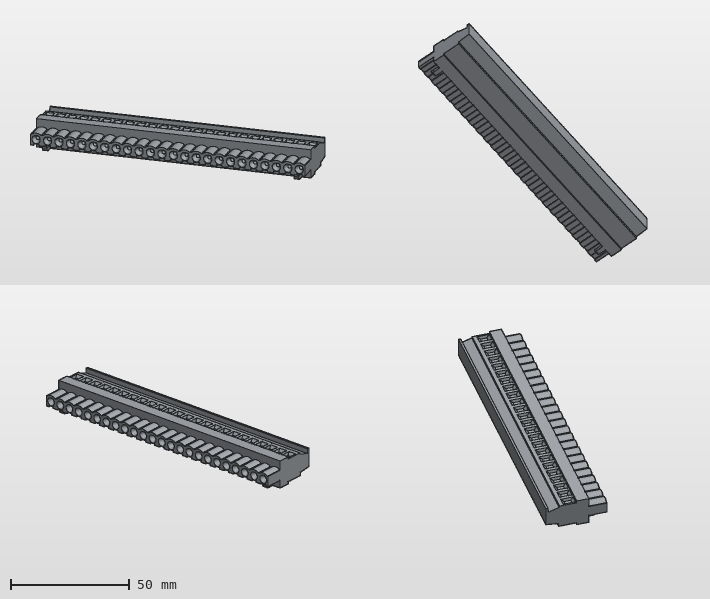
import cadquery as cq
import math

length = 121.9
depth = 27.1
height = 12.7
pole_count = 24
pitch = length / pole_count

front_y = 8.0
step_y = 13.4
step_height = 1.0
deck_z = height - step_height
belly_z = step_height
deck_rear_y = 21.0
deck_foot_y = 21.2
deck_rear_drop = 0.6
belly_rear_y = 21.5
belly_rear_z = 2.4
lip_thickness = 1.0
lip_root_thickness = 1.2
lip_root_z = 9.6
rear_bottom_z = 3.2

socket_bottom_z = 3.7
socket_side_z = 8.4
socket_top_z = 9.3
crown_radius = 3.3
crown_rise = socket_top_z - socket_side_z
crown_half_width = math.sqrt(2 * crown_radius * crown_rise - crown_rise**2)

entry_z = 6.3
entry_diameter = 3.7
bore_diameter = 1.6
entry_depth = 2.4
bore_depth = 7.3
relief_width = 2.4
relief_height = 0.6

window_width = 3.5
window_front_y = 13.7
window_rear_y = 19.1
window_depth = 1.2
floor_width = 2.7
floor_front_y = 14.9
floor_rear_y = 17.8

hook_width = 2.1
hook_tip_y = 3.7
hook_top_z = 1.7
hook_tip_z = 2.2
hook_tip_length = 1.0
hook_tip_lean = 0.2
hook_nose_radius = 1.6

pole_xs = [pitch * (i + 0.5) for i in range(pole_count)]


def along_x(points, x_start, x_length):
    """Extrude a closed (Y, Z) outline along X."""
    return cq.Workplane("YZ", origin=(x_start, 0, 0)).polyline(points).close().extrude(x_length)


def housing():
    """Stepped housing with a thin upright lip along its rear edge."""
    outline = [
        (front_y, 0),
        (front_y, height),
        (step_y, height),
        (step_y, deck_z),
        (deck_rear_y, deck_z),
        (deck_foot_y, deck_z - deck_rear_drop),
        (depth - lip_root_thickness, lip_root_z),
        (depth - lip_thickness, deck_z),
        (depth, deck_z),
        (depth, rear_bottom_z),
        (belly_rear_y, belly_rear_z),
        (belly_rear_y, belly_z),
        (step_y, belly_z),
        (step_y, 0),
    ]
    return along_x(outline, 0, length)


def socket_row():
    """Continuous block of sockets with one round crown per pole."""
    outline = cq.Workplane("XZ").moveTo(0, socket_bottom_z).lineTo(0, socket_side_z)
    for x in pole_xs:
        outline = outline.lineTo(x - crown_half_width, socket_side_z)
        outline = outline.threePointArc((x, socket_top_z), (x + crown_half_width, socket_side_z))
    outline = outline.lineTo(length, socket_side_z).lineTo(length, socket_bottom_z).close()
    return outline.extrude(-front_y)


def wire_entry(x):
    """Cutter for one pole: funnel and bore, plus the relief groove underneath."""
    profile = [
        (0, 0),
        (entry_diameter / 2, 0),
        (bore_diameter / 2, entry_depth),
        (bore_diameter / 2, bore_depth),
        (0, bore_depth),
    ]
    bore = cq.Workplane("XY").polyline(profile).close().revolve(360, (0, 0, 0), (0, 1, 0))
    relief = cq.Workplane("XY").box(relief_width, front_y, relief_height, centered=(True, False, False))
    return bore.translate((x, 0, entry_z)).add(relief.translate((x, 0, socket_bottom_z)))


def window(x):
    """Cutter narrowing from the deck down to a smaller floor."""
    mouth_y = (window_front_y + window_rear_y) / 2
    floor_y = (floor_front_y + floor_rear_y) / 2
    return (
        cq.Workplane("XY", origin=(x, mouth_y, deck_z))
        .rect(window_width, window_rear_y - window_front_y)
        .workplane(offset=-window_depth)
        .center(0, floor_y - mouth_y)
        .rect(floor_width, floor_rear_y - floor_front_y)
        .loft(ruled=True)
    )


def latch_hook(x):
    """Short arm with an upturned tip and a rounded underside."""
    outline = (
        cq.Workplane("YZ", origin=(x - hook_width / 2, 0, 0))
        .moveTo(front_y, 0)
        .lineTo(front_y, hook_top_z)
        .lineTo(hook_tip_y + hook_tip_length, hook_top_z)
        .lineTo(hook_tip_y + hook_tip_length / 2, hook_tip_z)
        .lineTo(hook_tip_y + hook_tip_lean, hook_tip_z)
        .lineTo(hook_tip_y, hook_nose_radius)
        .radiusArc((hook_tip_y + hook_nose_radius, 0), -hook_nose_radius)
        .close()
    )
    return outline.extrude(hook_width)


result = housing().union(socket_row())
for x in (pitch, length - pitch):
    result = result.union(latch_hook(x))

cutters = []
for x in pole_xs:
    cutters += wire_entry(x).vals()
    cutters += window(x).vals()
result = result.cut(cq.Workplane(obj=cq.Compound.makeCompound(cutters)))